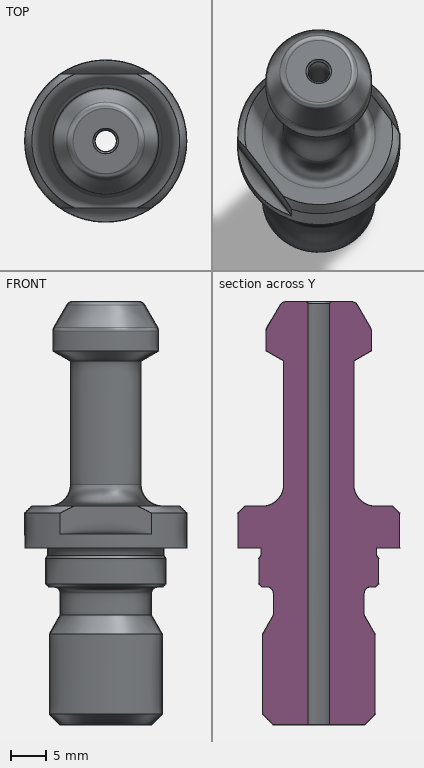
import cadquery as cq
import math

thread_radius = 16.0 / 2
relief_radius = 12.95 / 2
pilot_radius = 17.05 / 2
groove_radius = 16.5 / 2
flange_radius = 23.0 / 2
neck_radius = 10.0 / 2
head_radius = 15.0 / 2
bore_radius = 3.0 / 2

total_height = 60.0
thread_top = 12.85
relief_bottom = 15.55
pilot_bottom = 19.5
pilot_top = 23.6
flange_bottom = 25.0
flange_top = 31.0
flat_bottom = 27.0
neck_top = 51.55
head_cone_bottom = 56.05

thread_chamfer = 1.5
relief_fillet = 0.85
pilot_chamfer = 0.5
pilot_top_chamfer = 0.4
flange_chamfer = 1.0
neck_fillet = 3.0
head_fillet = 1.0
bore_chamfer = 0.3

flat_width = 19.0
head_cone_angle = math.radians(30)
head_shoulder_angle = math.radians(30)


def revolve_section(section):
    """Revolve a closed half section, drawn as (radius, height), about Z."""
    return section.close().revolve(360, (0, 0, 0), (0, 1, 0))


def make_threaded_end():
    section = (
        cq.Workplane("XZ")
        .lineTo(thread_radius - thread_chamfer, 0)
        .lineTo(thread_radius, thread_chamfer)
        .lineTo(thread_radius, thread_top)
        .lineTo(relief_radius, relief_bottom)
        .lineTo(relief_radius, pilot_bottom - relief_fillet)
        .radiusArc((relief_radius + relief_fillet, pilot_bottom), relief_fillet)
        .lineTo(0, pilot_bottom)
    )
    return revolve_section(section)


def make_pilot():
    section = (
        cq.Workplane("XZ")
        .moveTo(0, pilot_bottom)
        .lineTo(pilot_radius - pilot_chamfer, pilot_bottom)
        .lineTo(pilot_radius, pilot_bottom + pilot_chamfer)
        .lineTo(pilot_radius, pilot_top)
        .lineTo(groove_radius, pilot_top + pilot_top_chamfer)
        .lineTo(groove_radius, flange_bottom)
        .lineTo(0, flange_bottom)
    )
    return revolve_section(section)


def make_flange():
    flange = (
        cq.Workplane("XY", origin=(0, 0, flange_bottom))
        .circle(flange_radius)
        .extrude(flange_top - flange_bottom)
        .faces(">Z")
        .chamfer(flange_chamfer)
    )
    flat_depth = flange_radius - flat_width / 2
    for side in (-1, 1):
        cutter = (
            cq.Workplane("XY", origin=(0, side * (flat_width + flat_depth) / 2, flat_bottom))
            .rect(2 * flange_radius, flat_depth)
            .extrude(flange_top - flat_bottom)
        )
        flange = flange.cut(cutter)
    return flange


def make_neck():
    section = (
        cq.Workplane("XZ")
        .moveTo(0, flange_top)
        .lineTo(neck_radius + neck_fillet, flange_top)
        .radiusArc((neck_radius, flange_top + neck_fillet), neck_fillet)
        .lineTo(neck_radius, neck_top)
        .lineTo(0, neck_top)
    )
    return revolve_section(section)


def make_head():
    shoulder_top = neck_top + (head_radius - neck_radius) * math.tan(head_shoulder_angle)
    cone_height = total_height - head_cone_bottom
    tip_radius = head_radius - cone_height * math.tan(head_cone_angle)
    section = (
        cq.Workplane("XZ")
        .moveTo(0, neck_top)
        .lineTo(neck_radius, neck_top)
        .lineTo(head_radius, shoulder_top)
        .lineTo(head_radius, head_cone_bottom)
        .lineTo(tip_radius, total_height)
        .lineTo(0, total_height)
    )
    head = revolve_section(section)
    rim = head.faces(">Z").edges()
    cone_foot = head.faces("%CONE").faces(">Z").edges("<Z")
    return head.newObject(rim.vals() + cone_foot.vals()).fillet(head_fillet)


def make_bore():
    section = (
        cq.Workplane("XZ")
        .lineTo(bore_radius, 0)
        .lineTo(bore_radius, total_height - bore_chamfer)
        .lineTo(bore_radius + bore_chamfer, total_height)
        .lineTo(0, total_height)
    )
    return revolve_section(section)


result = (
    make_threaded_end()
    .union(make_pilot())
    .union(make_flange())
    .union(make_neck())
    .union(make_head())
    .cut(make_bore())
)